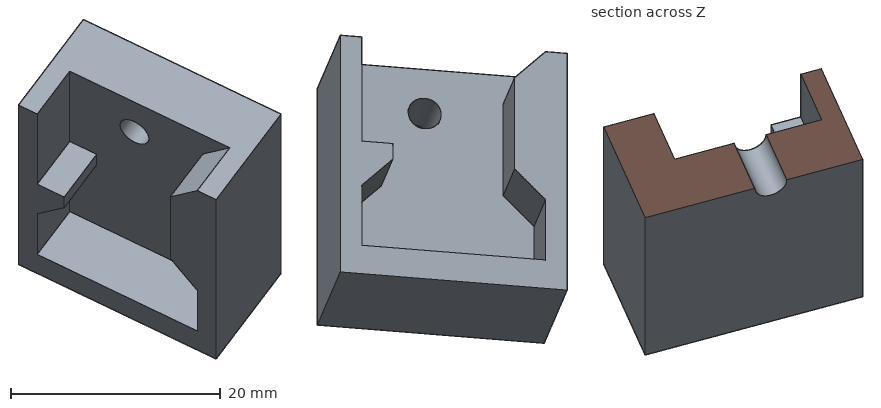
import cadquery as cq

width = 22.0
depth = 12.0
height = 25.0

pocket_depth = 6.0
side_wall = 2.1
floor_thickness = 3.0

bulge = 3.0
bulge_bottom = 12.35
ledge_top = 14.0

hole_diameter = 3.2
hole_x = 9.3
hole_z = 20.35

left = side_wall
right = width - side_wall
slope_bottom = bulge_bottom - bulge


def make_block():
    return cq.Workplane("XY").box(width, depth, height, centered=False)


def make_pocket():
    outline = [
        (left, floor_thickness),
        (right, floor_thickness),
        (right, slope_bottom),
        (right - bulge, bulge_bottom),
        (right - bulge, height - bulge),
        (right, height),
        (left, height),
        (left, ledge_top),
        (left + bulge, ledge_top),
        (left + bulge, bulge_bottom),
        (left, slope_bottom),
    ]
    return cq.Workplane("XZ").polyline(outline).close().extrude(-pocket_depth)


def make_hole():
    return cq.Workplane("XZ").center(hole_x, hole_z).circle(hole_diameter / 2).extrude(-depth)


result = make_block().cut(make_pocket()).cut(make_hole())